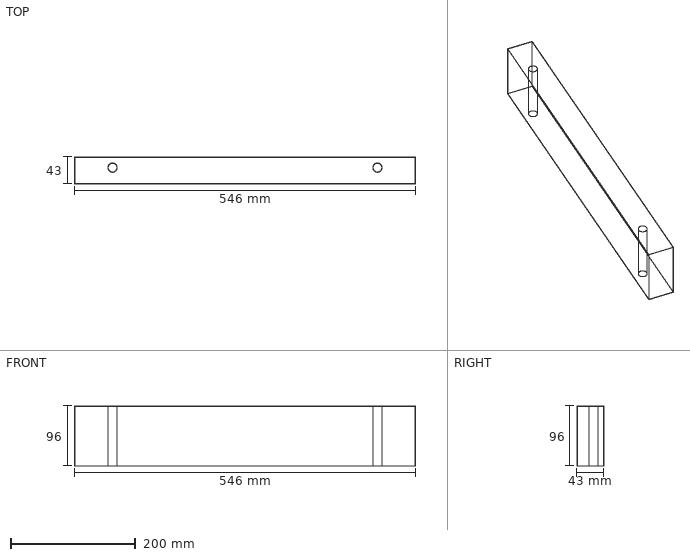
import cadquery as cq

length = 546.0
depth = 43.0
height = 96.0

hole_diameter = 14.0
hole_spacing = 424.0
hole_from_back = 17.0

hole_y = depth / 2 - hole_from_back

bar = cq.Workplane("XY").box(length, depth, height)

hole_centers = [(side * hole_spacing / 2, hole_y) for side in (-1, 1)]
result = (
    bar.faces(">Z")
    .workplane(origin=(0, 0, 0))
    .pushPoints(hole_centers)
    .hole(hole_diameter)
)